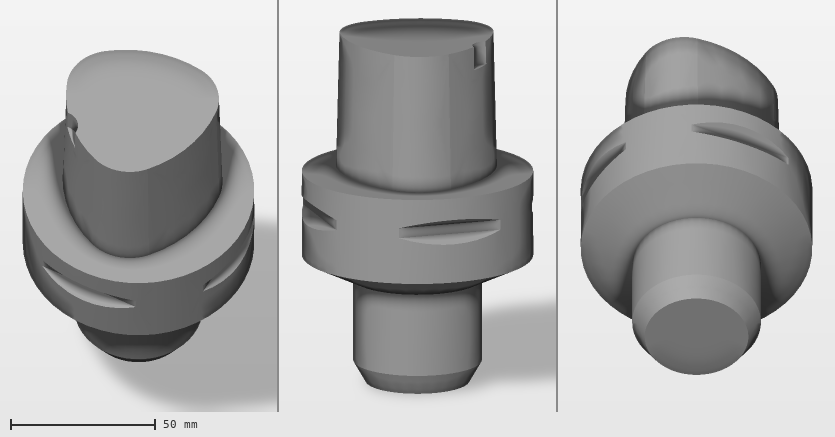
import cadquery as cq
import math

flange_radius = 40.0
flange_height = 30.0
nose_radius = 44.5 / 2
body_length = 75.0
cone_height = 8.5
tip_height = 7.5
tip_angle = 30.0
tip_radius = nose_radius - tip_height * math.tan(math.radians(tip_angle))

shank_height = 48.0
lobe_count = 3
first_lobe_angle = 90.0
lobe_pitch = 360.0 / lobe_count
shank_mean_radius = 27.5
lobe_eccentricity = 2.0
lobe_tip_radius = 17.0
lobe_tip_reach = shank_mean_radius + lobe_eccentricity
flank_reach = shank_mean_radius - lobe_eccentricity
taper_on_width = 1 / 20
shank_taper = math.degrees(math.atan(taper_on_width / 2))

notch_radius = 6.0
notch_depth = 8.2
notch_inner_reach = 22.0

groove_count = 4
first_groove_angle = 45.0
groove_floor_reach = 35.5
groove_center_z = -12.0
groove_floor_width = 3.5
groove_wall_angle = 30.0


def polar(radius, angle):
    """Point at the given radius and angle in degrees."""
    return (
        radius * math.cos(math.radians(angle)),
        radius * math.sin(math.radians(angle)),
    )


def make_body():
    """Flange, cone, nose and tapered tip in one revolution about Z."""
    cone_end_z = -flange_height - cone_height
    return (
        cq.Workplane("XZ")
        .moveTo(0, 0)
        .lineTo(flange_radius, 0)
        .lineTo(flange_radius, -flange_height)
        .lineTo(nose_radius, cone_end_z)
        .lineTo(nose_radius, -body_length + tip_height)
        .lineTo(tip_radius, -body_length)
        .lineTo(0, -body_length)
        .close()
        .revolve(360, (0, 0), (0, 1))
    )


def lobe_joint():
    """Radius and angle from the lobe tip of the point where lobe and flank arcs are tangent."""
    lobe_offset = lobe_tip_reach - lobe_tip_radius
    reach_gap = flank_reach - lobe_tip_radius
    flank_offset = (lobe_offset**2 - reach_gap**2) / (2 * reach_gap - lobe_offset)
    flank_x, flank_y = polar(flank_offset, -lobe_pitch)
    center_distance = math.hypot(lobe_offset - flank_x, flank_y)
    stretch = lobe_tip_radius / center_distance
    joint_x = lobe_offset + (lobe_offset - flank_x) * stretch
    joint_y = -flank_y * stretch
    return math.hypot(joint_x, joint_y), math.degrees(math.atan2(joint_y, joint_x))


def make_shank():
    """Three-lobed shank of tangent arcs with one lobe pointing along +Y."""
    joint_radius, joint_angle = lobe_joint()
    outline = cq.Workplane("XY").moveTo(*polar(joint_radius, first_lobe_angle - joint_angle))
    for index in range(lobe_count):
        tip = first_lobe_angle + index * lobe_pitch
        flank = tip + lobe_pitch / 2
        next_lobe_start = tip + lobe_pitch - joint_angle
        outline = outline.threePointArc(
            polar(lobe_tip_reach, tip), polar(joint_radius, tip + joint_angle)
        )
        outline = outline.threePointArc(
            polar(flank_reach, flank), polar(joint_radius, next_lobe_start)
        )
    return outline.close().extrude(shank_height, taper=shank_taper)


def make_notch():
    """Round-backed notch opening to -Y and to the top of the shank."""
    return (
        cq.Workplane("XY")
        .workplane(offset=shank_height - notch_depth)
        .center(0, -notch_inner_reach - notch_radius)
        .circle(notch_radius)
        .extrude(notch_depth)
    )


def make_groove(angle):
    """Straight trapezoidal groove across the rim, facing the given direction."""
    half_floor = groove_floor_width / 2
    depth = flange_radius - groove_floor_reach
    half_mouth = half_floor + depth * math.tan(math.radians(groove_wall_angle))
    return (
        cq.Workplane("XZ")
        .moveTo(groove_floor_reach, groove_center_z - half_floor)
        .lineTo(flange_radius, groove_center_z - half_mouth)
        .lineTo(flange_radius, groove_center_z + half_mouth)
        .lineTo(groove_floor_reach, groove_center_z + half_floor)
        .close()
        .extrude(flange_radius, both=True)
        .rotate((0, 0, 0), (0, 0, 1), angle)
    )


result = make_body().union(make_shank()).cut(make_notch())
for groove_index in range(groove_count):
    result = result.cut(make_groove(first_groove_angle + groove_index * 360.0 / groove_count))